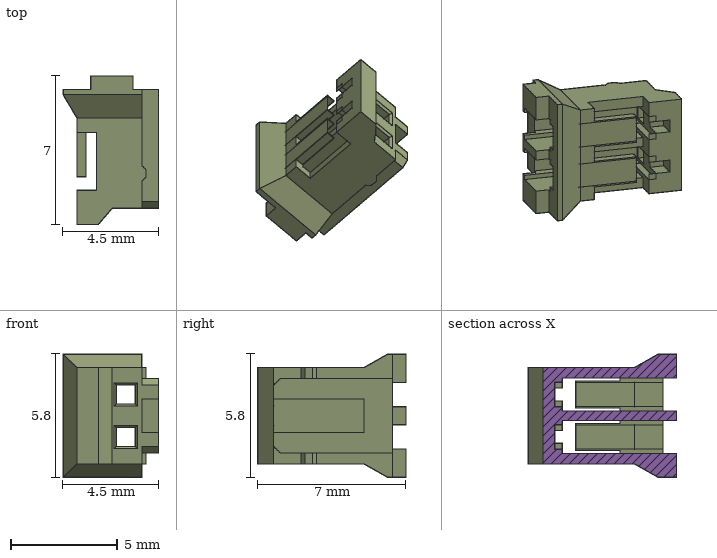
import cadquery as cq


body_width = 3.06
body_height = 4.55
body_front = 0.76
nose_tip_width = 1.015
nose_root_width = 1.665

flange_start = 5.02
flange_lip_start = 6.12
flange_back = 6.37
flange_height = 5.8
flange_overhang = 0.65

tail_end = 7.0
tail_left = 0.65
tail_right = 2.65

rail_thickness = 0.79
rail_outer_half = 1.76
rail_gap_half = 0.8
rail_chamfer = 0.32

ridge_height = 0.2
ridge_start = 2.04
ridge_end = 2.78

window_front = 1.62
window_back = 4.33
window_depth = 0.925
latch_free_end = 2.24
latch_thickness = 0.44
latch_height = 1.28
latch_skin = 0.01

pitch = 2.0
channel_start = 1.27
channel_height = 1.15
chamber_height = 1.55
chamber_end = 2.39
groove_height = 1.13
groove_end = 2.85

opening_left = 1.865
opening_size = 0.875
opening_chamfer = 0.11
notch_front = 0.59
notch_height = 0.59

way_centers = [-pitch / 2, pitch / 2]


def block(x_range, y_range, z_center, height):
    """Box between X and Y limits, centred in Z on z_center."""
    x_start, x_end = x_range
    y_start, y_end = y_range
    return cq.Workplane("XY").box(
        x_end - x_start, y_end - y_start, height, centered=(False, False, True)
    ).translate((x_start, y_start, z_center))


def prism(points, height):
    """XY outline extruded symmetrically about Z = 0."""
    return cq.Workplane("XY").polyline(points).close().extrude(height / 2, both=True)


def make_body():
    outline = [
        (0, 0),
        (nose_tip_width, 0),
        (nose_root_width, body_front),
        (body_width, body_front),
        (body_width, flange_back),
        (0, flange_back),
    ]
    return prism(outline, body_height)


def make_flange():
    """Flare on three sides, flush with the body on +X, ending in a straight lip."""
    plan = [
        (0, flange_start),
        (body_width, flange_start),
        (body_width, flange_back),
        (-flange_overhang, flange_back),
        (-flange_overhang, flange_lip_start),
    ]
    side = [
        (flange_start, -body_height / 2),
        (flange_lip_start, -flange_height / 2),
        (flange_back, -flange_height / 2),
        (flange_back, flange_height / 2),
        (flange_lip_start, flange_height / 2),
        (flange_start, body_height / 2),
    ]
    side_prism = (
        cq.Workplane("YZ", origin=(-flange_overhang, 0, 0))
        .polyline(side).close()
        .extrude(flange_overhang + body_width)
    )
    return prism(plan, flange_height).intersect(side_prism)


def make_tail():
    return block((tail_left, tail_right), (flange_back, tail_end), 0, flange_height)


def make_rails():
    """Rail with chamfered front corners, split into two prongs ahead of the flange."""
    rail_range = (body_width, body_width + rail_thickness)
    rail = block(rail_range, (body_front, flange_back), 0, 2 * rail_outer_half)
    rail = rail.faces("<Y").edges("|X").chamfer(rail_chamfer)
    return rail.cut(block(rail_range, (body_front, flange_start), 0, 2 * rail_gap_half))


def make_ridges():
    """Trapezoidal ridges filling the strips above and below the rails."""
    outline = [
        (body_width, ridge_start),
        (body_width + ridge_height, ridge_start + ridge_height),
        (body_width + ridge_height, ridge_end - ridge_height),
        (body_width, ridge_end),
    ]
    return prism(outline, body_height).cut(prism(outline, 2 * rail_outer_half))


def make_latch(z_center):
    return block((0, latch_thickness), (latch_free_end, window_back), z_center, latch_height)


def make_cavity(z_center):
    """Stepped passage for one contact, open at the wire end."""
    channel = block((latch_skin, chamber_end), (channel_start, tail_end), z_center, channel_height)
    chamber = block((latch_thickness, chamber_end), (window_front, tail_end), z_center, chamber_height)
    groove = block((chamber_end, groove_end), (channel_start, tail_end), z_center, groove_height)
    return channel.union(chamber).union(groove)


def make_opening(z_center):
    """Square mating opening with a chamfered mouth."""
    opening_range = (opening_left, opening_left + opening_size)
    opening = block(opening_range, (body_front, channel_start), z_center, opening_size)
    mouth_size = opening_size + 2 * opening_chamfer
    mouth = (
        cq.Workplane("XZ", origin=(opening_left + opening_size / 2, body_front, z_center))
        .rect(mouth_size, mouth_size)
        .workplane(offset=-opening_chamfer)
        .rect(opening_size, opening_size)
        .loft(ruled=True)
    )
    return opening.union(mouth)


def make_notch(z_center):
    """Slot in the nose in line with the latch."""
    return block((0, window_depth), (notch_front, window_front), z_center, notch_height)


result = make_body().union(make_flange()).union(make_tail())
result = result.union(make_rails()).union(make_ridges())
result = result.cut(block((0, window_depth), (window_front, window_back), 0, body_height))

for way_center in way_centers:
    result = result.union(make_latch(way_center))

for way_center in way_centers:
    result = result.cut(make_cavity(way_center))
    result = result.cut(make_opening(way_center))
    result = result.cut(make_notch(way_center))